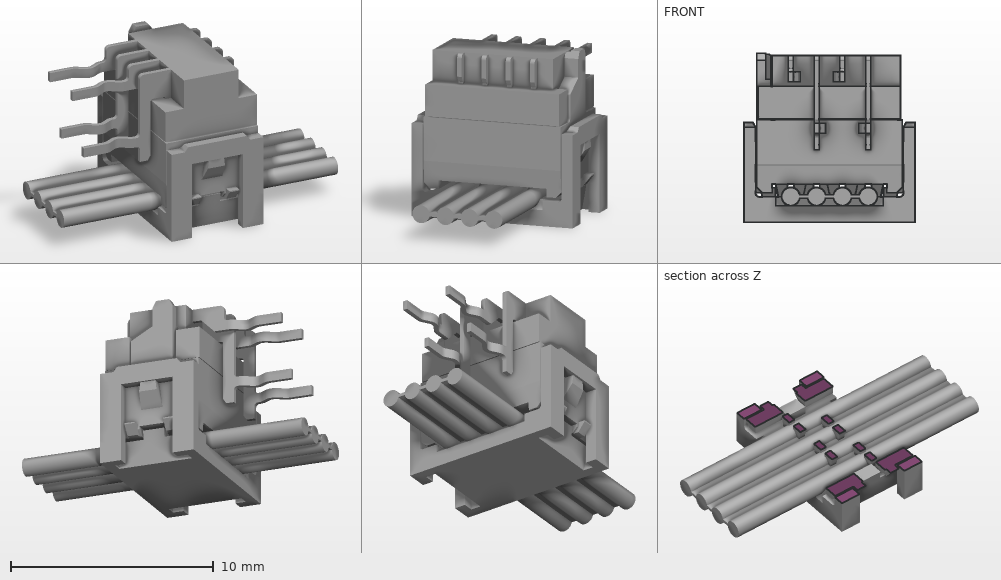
import cadquery as cq


WIRE_COUNT = 4
WIRE_PITCH = 1.28
WIRE_DIAMETER = 0.9
WIRE_Z = 1.28
CABLE_LENGTH = 15.0
WEB_THICKNESS = 0.16
WIRE_XS = [(i - (WIRE_COUNT - 1) / 2) * WIRE_PITCH for i in range(WIRE_COUNT)]

BODY_DEPTH = 5.02
HOUSING_WIDTH = 7.2
SIDE_GAP = 0.05

CLAMP_WIDTH = 8.46
CLAMP_HEIGHT = 4.94
CLAMP_INNER_WIDTH = HOUSING_WIDTH + 2 * SIDE_GAP
CLAMP_FLOOR_Z = 1.26
CLAMP_CORNER_RADIUS = 0.2
ARM_STEP_HEIGHT = 0.24
ARM_MIDDLE_LENGTH = 3.21
ARM_STEP_RUN = 0.18
ARM_LEAD_IN = 0.14
WINDOW_LENGTH = 2.78
WINDOW_TOP_Z = 3.99
UNDERCUT_LENGTH = 3.9
UNDERCUT_BOTTOM_X = 3.1
UNDERCUT_LEAN = 0.3
CHANNEL_WIDTH = 5.31
CHANNEL_Z = 0.81
CHANNEL_RAMP_LENGTH = 0.45
TONGUE_LENGTH = 1.11
TONGUE_TOP_Z = 1.71

HOUSING_BOTTOM_Z = 1.45
HOUSING_TOP_Z = 5.05
HOUSING_CHAMFER = 0.28
FACE_LEAN_Z = 2.85
FACE_LEAN = 0.1
CABLE_RECESS_WIDTH = 5.67
CABLE_RECESS_TOP_Z = 1.89
TONGUE_SLOT_LENGTH = 1.35

FORK_TOP_WIDTH = 1.5
FORK_BOTTOM_WIDTH = 1.23
FORK_THICKNESS = 0.36
FORK_NEAR_Y = 0.55
FORK_SLOT_WIDTH = 0.3

LUG_TOP_Z = WINDOW_TOP_Z
LUG_EDGE_Z = 3.51
LUG_BOTTOM_Z = 2.73
LUG_REACH = 0.51
LUG_TOP_WIDTH = 0.81
LUG_BOTTOM_WIDTH = 1.14
HOOK_TOP_Z = 2.01
HOOK_LIP = 0.06
HOOK_REACH = 0.39
HOOK_LENGTH = 0.54
HOOK_Y = 1.04

SEAM_HEIGHT = 0.05
SEAM_DEPTH = 0.15
HEADER_WIDTH = 7.02
HEADER_Z = HOUSING_TOP_Z + SEAM_HEIGHT
SHELF_Z = 6.7
BLOCK_TOP_Z = 8.24
BLOCK_DEPTH = 3.0
BLOCK_LEFT_X = -2.84
LATCH_RECESS_LENGTH = 2.49

LATCH_LEFT_X = -HOUSING_WIDTH / 2
LATCH_RIGHT_X = BLOCK_LEFT_X - SIDE_GAP
LATCH_LENGTH = 2.22
LATCH_TOP_Z = 8.35
LATCH_SHOULDER_Z = 6.44
LATCH_NECK_Z = 7.05
LATCH_TIP_BACK_Y = -0.03
LATCH_TIP_CHAMFER_RUN = 0.2
LATCH_TIP_CHAMFER_DROP = 0.36
LATCH_ROOT_RADIUS = 0.18
LATCH_NOTCH_X = -3.15
LATCH_NOTCH_BACK_Y = -0.2
LATCH_TIP_SLOPE_X = -3.1
LATCH_TIP_SLOPE_DROP = 0.12

CONTACT_THICKNESS = 0.24
CONTACT_FRONT_Y = -3.2
CONTACT_ROUND = 0.22
EMBED = 0.15
BACK_TAIL_Y = 1.96
BACK_TAIL_LOW_Z = 7.1
BACK_TAIL_FOOT_Y = 1.8
BACK_TAIL_FOOT_Z = 6.81
SHORT_WEB_Z = 7.6
SHORT_WEB_END_Y = -1.98
SHORT_FOOT_Y = -2.68
COLUMN_BACK_Y = -2.61
COLUMN_BOTTOM_Z = 3.57
COLUMN_CHAMFER_Y = 0.16
COLUMN_CHAMFER_Z = 0.25
BRIDGE_Z = 6.84
BRIDGE_FOOT_Y = -1.82
BRIDGE_ROUND = 0.12

PIN_HEIGHT = 0.5
UPPER_PIN_Z = 6.93
LOWER_PIN_Z = 4.4
PIN_TIP_Y = -6.27
PIN_ROOT_RADIUS = 0.18
KINK_START_Y = -3.57
KINK_PEAK_Y = -4.25
KINK_END_Y = -4.94
KINK_OFFSET = 0.44
KINK_RADIUS = 0.5
STUB_END_Y = -3.39


def box(x_range, y_range, z_range):
    """Box from its limits along each axis."""
    (x0, x1), (y0, y1), (z0, z1) = x_range, y_range, z_range
    return cq.Workplane("XY").box(x1 - x0, y1 - y0, z1 - z0, centered=False).translate((x0, y0, z0))


def centred_box(width, depth, z0, z1):
    """Box centred on the Z axis between two heights."""
    return box((-width / 2, width / 2), (-depth / 2, depth / 2), (z0, z1))


def prism_along_x(points, x0, x1):
    """Prism with a (y, z) outline between two x positions."""
    return cq.Workplane("YZ", origin=(x0, 0, 0)).polyline(points).close().extrude(x1 - x0)


def prism_along_y(points, y0, y1):
    """Prism with an (x, z) outline between two y positions."""
    return cq.Workplane("XZ", origin=(0, y0, 0)).polyline(points).close().extrude(y0 - y1)


def both_sides(shape):
    """The shape together with its mirror image on the other X side."""
    return shape.union(shape.mirror("YZ"))


def make_cable():
    cable = centred_box(
        WIRE_XS[-1] - WIRE_XS[0], CABLE_LENGTH, WIRE_Z - WEB_THICKNESS / 2, WIRE_Z + WEB_THICKNESS / 2
    )
    for x in WIRE_XS:
        wire = (
            cq.Workplane("XZ", origin=(x, CABLE_LENGTH / 2, WIRE_Z))
            .circle(WIRE_DIAMETER / 2)
            .extrude(CABLE_LENGTH)
        )
        cable = cable.union(wire)
    return cable


def arm_end_steps():
    """Material removed where the arm tops step down towards both Y ends."""
    low_z = CLAMP_HEIGHT - ARM_STEP_HEIGHT
    middle_y = ARM_MIDDLE_LENGTH / 2
    end_y = BODY_DEPTH / 2
    step = prism_along_x(
        [(middle_y, CLAMP_HEIGHT), (middle_y + ARM_STEP_RUN, low_z), (end_y, low_z), (end_y, CLAMP_HEIGHT)],
        -CLAMP_WIDTH / 2,
        CLAMP_WIDTH / 2,
    )
    return step.union(step.mirror("XZ"))


def arm_lead_in():
    """Sloped inner edge along the top of one arm."""
    inner_x = CLAMP_INNER_WIDTH / 2
    return prism_along_y(
        [
            (inner_x, CLAMP_HEIGHT - ARM_STEP_HEIGHT),
            (inner_x + ARM_LEAD_IN, CLAMP_HEIGHT),
            (inner_x, CLAMP_HEIGHT),
        ],
        -BODY_DEPTH / 2,
        BODY_DEPTH / 2,
    )


def arm_window():
    """Window through one arm, open at the bottom."""
    return box(
        (CLAMP_INNER_WIDTH / 2, CLAMP_WIDTH / 2), (-WINDOW_LENGTH / 2, WINDOW_LENGTH / 2), (0, WINDOW_TOP_Z)
    )


def base_undercut():
    """Slit between one arm and the base, which leaves a leaning side on the base and tongue."""
    inner_x = CLAMP_INNER_WIDTH / 2
    return prism_along_y(
        [
            (UNDERCUT_BOTTOM_X, 0),
            (inner_x, 0),
            (inner_x, TONGUE_TOP_Z),
            (UNDERCUT_BOTTOM_X + UNDERCUT_LEAN, TONGUE_TOP_Z),
        ],
        -UNDERCUT_LENGTH / 2,
        UNDERCUT_LENGTH / 2,
    )


def channel_ramp():
    """Opening at the -Y end of the cable channel, whose floor rises inward."""
    end_y = -BODY_DEPTH / 2
    return prism_along_x(
        [(end_y, CHANNEL_Z), (end_y + CHANNEL_RAMP_LENGTH, CLAMP_FLOOR_Z), (end_y, CLAMP_FLOOR_Z)],
        -CHANNEL_WIDTH / 2,
        CHANNEL_WIDTH / 2,
    )


def make_clamp(cable):
    clamp = centred_box(CLAMP_WIDTH, BODY_DEPTH, 0, CLAMP_HEIGHT)
    cavity = centred_box(CLAMP_INNER_WIDTH, BODY_DEPTH, CLAMP_FLOOR_Z, CLAMP_HEIGHT)
    cavity = cavity.edges("|Y and <Z").fillet(CLAMP_CORNER_RADIUS)
    clamp = clamp.cut(cavity)
    clamp = clamp.cut(arm_end_steps())
    clamp = clamp.cut(both_sides(arm_lead_in()))
    ramp = channel_ramp()
    clamp = clamp.cut(ramp).cut(ramp.mirror("XZ"))
    tongue = box(
        (CHANNEL_WIDTH / 2, CLAMP_INNER_WIDTH / 2),
        (-TONGUE_LENGTH / 2, TONGUE_LENGTH / 2),
        (CLAMP_FLOOR_Z - CLAMP_CORNER_RADIUS, TONGUE_TOP_Z),
    )
    clamp = clamp.union(both_sides(tongue))
    clamp = clamp.cut(both_sides(arm_window())).cut(both_sides(base_undercut()))
    return clamp.cut(cable)


def make_housing():
    housing = centred_box(HOUSING_WIDTH, BODY_DEPTH, HOUSING_BOTTOM_Z, HOUSING_TOP_Z)
    housing = housing.edges("|Y and <Z").chamfer(HOUSING_CHAMFER)
    end_y = BODY_DEPTH / 2
    lean = prism_along_x(
        [(end_y, FACE_LEAN_Z), (end_y, HOUSING_BOTTOM_Z), (end_y - FACE_LEAN, HOUSING_BOTTOM_Z)],
        -HOUSING_WIDTH / 2,
        HOUSING_WIDTH / 2,
    )
    housing = housing.cut(lean).cut(lean.mirror("XZ"))
    cable_recess = centred_box(CABLE_RECESS_WIDTH, BODY_DEPTH, HOUSING_BOTTOM_Z, CABLE_RECESS_TOP_Z)
    tongue_slot = centred_box(HOUSING_WIDTH, TONGUE_SLOT_LENGTH, HOUSING_BOTTOM_Z, CABLE_RECESS_TOP_Z)
    return housing.cut(cable_recess).cut(tongue_slot)


def make_fork(x, row):
    """Tapered fork that straddles one wire; row is -1 or +1 along Y."""
    near_y = row * FORK_NEAR_Y
    far_y = row * (FORK_NEAR_Y + FORK_THICKNESS)
    y_low = min(near_y, far_y)
    y_high = max(near_y, far_y)
    fork = prism_along_y(
        [
            (x - FORK_BOTTOM_WIDTH / 2, CLAMP_FLOOR_Z),
            (x + FORK_BOTTOM_WIDTH / 2, CLAMP_FLOOR_Z),
            (x + FORK_TOP_WIDTH / 2, CABLE_RECESS_TOP_Z),
            (x - FORK_TOP_WIDTH / 2, CABLE_RECESS_TOP_Z),
        ],
        y_low,
        y_high,
    )
    slot = box(
        (x - FORK_SLOT_WIDTH / 2, x + FORK_SLOT_WIDTH / 2),
        (y_low, y_high),
        (CLAMP_FLOOR_Z, CABLE_RECESS_TOP_Z),
    )
    return fork.cut(slot)


def make_snap_lug():
    """Lug on the +X side that sits under the top of the clamp window."""
    side_x = HOUSING_WIDTH / 2
    profile = prism_along_y(
        [
            (side_x, LUG_BOTTOM_Z),
            (side_x + LUG_REACH, LUG_EDGE_Z),
            (side_x + LUG_REACH, LUG_TOP_Z),
            (side_x, LUG_TOP_Z),
        ],
        -LUG_BOTTOM_WIDTH / 2,
        LUG_BOTTOM_WIDTH / 2,
    )
    taper = prism_along_x(
        [
            (-LUG_BOTTOM_WIDTH / 2, LUG_BOTTOM_Z),
            (LUG_BOTTOM_WIDTH / 2, LUG_BOTTOM_Z),
            (LUG_TOP_WIDTH / 2, LUG_TOP_Z),
            (-LUG_TOP_WIDTH / 2, LUG_TOP_Z),
        ],
        side_x,
        side_x + LUG_REACH,
    )
    return profile.intersect(taper)


def make_snap_hook(y):
    """Small hook on the +X side, with a sloped underside."""
    side_x = HOUSING_WIDTH / 2
    return prism_along_y(
        [
            (side_x - HOUSING_CHAMFER, HOUSING_BOTTOM_Z),
            (side_x, HOUSING_BOTTOM_Z),
            (side_x + HOOK_REACH, HOOK_TOP_Z - HOOK_LIP),
            (side_x + HOOK_REACH, HOOK_TOP_Z),
            (side_x - HOUSING_CHAMFER, HOOK_TOP_Z),
        ],
        y - HOOK_LENGTH / 2,
        y + HOOK_LENGTH / 2,
    )


def make_header():
    base = centred_box(HEADER_WIDTH, BODY_DEPTH, HEADER_Z, SHELF_Z)
    latch_recess = box(
        (-HEADER_WIDTH / 2, BLOCK_LEFT_X),
        (-LATCH_RECESS_LENGTH / 2, LATCH_RECESS_LENGTH / 2),
        (HEADER_Z, SHELF_Z),
    )
    block = box(
        (BLOCK_LEFT_X, HEADER_WIDTH / 2), (-BLOCK_DEPTH / 2, BLOCK_DEPTH / 2), (SHELF_Z, BLOCK_TOP_Z)
    )
    seam_core = box(
        (BLOCK_LEFT_X + SEAM_DEPTH, HEADER_WIDTH / 2 - SEAM_DEPTH),
        (-BODY_DEPTH / 2 + SEAM_DEPTH, BODY_DEPTH / 2 - SEAM_DEPTH),
        (HOUSING_TOP_Z, HEADER_Z),
    )
    return base.cut(latch_recess).union(block).union(seam_core)


def make_latch():
    front_y = -LATCH_LENGTH / 2
    back_y = LATCH_LENGTH / 2
    chamfer_z = LATCH_TOP_Z - LATCH_TIP_CHAMFER_DROP
    root = LATCH_ROOT_RADIUS
    latch = (
        cq.Workplane("YZ", origin=(LATCH_LEFT_X, 0, 0))
        .moveTo(front_y - root, HOUSING_TOP_Z)
        .radiusArc((front_y, HOUSING_TOP_Z + root), -root)
        .lineTo(front_y, chamfer_z)
        .lineTo(front_y + LATCH_TIP_CHAMFER_RUN, LATCH_TOP_Z)
        .lineTo(LATCH_TIP_BACK_Y - LATCH_TIP_CHAMFER_RUN, LATCH_TOP_Z)
        .lineTo(LATCH_TIP_BACK_Y, chamfer_z)
        .lineTo(LATCH_TIP_BACK_Y, LATCH_NECK_Z)
        .lineTo(back_y, LATCH_SHOULDER_Z)
        .lineTo(back_y, HOUSING_TOP_Z + root)
        .radiusArc((back_y + root, HOUSING_TOP_Z), -root)
        .close()
        .extrude(LATCH_RIGHT_X - LATCH_LEFT_X)
    )
    notch = box(
        (LATCH_NOTCH_X, LATCH_RIGHT_X), (front_y, LATCH_NOTCH_BACK_Y), (LATCH_NECK_Z, LATCH_TOP_Z)
    )
    tip_slope = prism_along_y(
        [
            (LATCH_TIP_SLOPE_X, LATCH_TOP_Z),
            (LATCH_RIGHT_X, LATCH_TOP_Z),
            (LATCH_RIGHT_X, LATCH_TOP_Z - LATCH_TIP_SLOPE_DROP),
        ],
        front_y,
        back_y,
    )
    return latch.cut(notch).cut(tip_slope)


def contact_plate(points):
    return prism_along_x(points, -CONTACT_THICKNESS / 2, CONTACT_THICKNESS / 2)


def round_corner(plate, y, z, radius):
    """Round the plate corner at (y, z)."""
    return plate.edges("|X").edges(cq.NearestToPointSelector((0, y, z))).fillet(radius)


def make_back_tail():
    inner_y = BLOCK_DEPTH / 2 - EMBED
    tail = contact_plate(
        [
            (inner_y, BLOCK_TOP_Z),
            (BACK_TAIL_Y, BLOCK_TOP_Z),
            (BACK_TAIL_Y, BACK_TAIL_LOW_Z),
            (BACK_TAIL_FOOT_Y, BACK_TAIL_FOOT_Z),
            (BACK_TAIL_FOOT_Y, SHELF_Z),
            (inner_y, SHELF_Z),
        ]
    )
    return round_corner(tail, BACK_TAIL_Y, BLOCK_TOP_Z, CONTACT_ROUND)


def make_short_plate():
    """Front plate that ends in the upper pin."""
    inner_y = -BLOCK_DEPTH / 2 + EMBED
    pin_top_z = UPPER_PIN_Z + PIN_HEIGHT
    plate = contact_plate(
        [
            (inner_y, BLOCK_TOP_Z),
            (CONTACT_FRONT_Y, BLOCK_TOP_Z),
            (CONTACT_FRONT_Y, pin_top_z),
            (STUB_END_Y, pin_top_z),
            (STUB_END_Y, UPPER_PIN_Z),
            (SHORT_FOOT_Y, UPPER_PIN_Z),
            (SHORT_WEB_END_Y, SHORT_WEB_Z),
            (inner_y, SHORT_WEB_Z),
        ]
    )
    plate = round_corner(plate, CONTACT_FRONT_Y, BLOCK_TOP_Z, CONTACT_ROUND)
    return round_corner(plate, CONTACT_FRONT_Y, pin_top_z, PIN_ROOT_RADIUS)


def make_long_plate():
    """Front plate with a column that reaches down to the lower pin."""
    inner_y = -BLOCK_DEPTH / 2 + EMBED
    pin_top_z = LOWER_PIN_Z + PIN_HEIGHT
    plate = contact_plate(
        [
            (inner_y, BLOCK_TOP_Z),
            (CONTACT_FRONT_Y, BLOCK_TOP_Z),
            (CONTACT_FRONT_Y, pin_top_z),
            (STUB_END_Y, pin_top_z),
            (STUB_END_Y, LOWER_PIN_Z),
            (CONTACT_FRONT_Y, LOWER_PIN_Z),
            (CONTACT_FRONT_Y, COLUMN_BOTTOM_Z),
            (COLUMN_BACK_Y - COLUMN_CHAMFER_Y, COLUMN_BOTTOM_Z),
            (COLUMN_BACK_Y, COLUMN_BOTTOM_Z + COLUMN_CHAMFER_Z),
            (COLUMN_BACK_Y, BRIDGE_Z),
            (BRIDGE_FOOT_Y, BRIDGE_Z),
            (BRIDGE_FOOT_Y, SHELF_Z),
            (inner_y, SHELF_Z),
        ]
    )
    plate = round_corner(plate, CONTACT_FRONT_Y, BLOCK_TOP_Z, CONTACT_ROUND)
    plate = round_corner(plate, COLUMN_BACK_Y, BRIDGE_Z, BRIDGE_ROUND)
    plate = round_corner(plate, BRIDGE_FOOT_Y, BRIDGE_Z, BRIDGE_ROUND)
    for z in (LOWER_PIN_Z, pin_top_z):
        plate = round_corner(plate, CONTACT_FRONT_Y, z, PIN_ROOT_RADIUS)
    return plate


def make_pin(bottom_z, side):
    """Pin with a rounded sideways kink; side is -1 or +1 along X."""
    middle_z = bottom_z + PIN_HEIGHT / 2
    path_points = [
        cq.Vector(0, STUB_END_Y, middle_z),
        cq.Vector(0, KINK_START_Y, middle_z),
        cq.Vector(side * KINK_OFFSET, KINK_PEAK_Y, middle_z),
        cq.Vector(0, KINK_END_Y, middle_z),
        cq.Vector(0, PIN_TIP_Y, middle_z),
    ]
    path = cq.Wire.makePolygon(path_points)
    path = path.fillet(KINK_RADIUS, path.Vertices()[1:-1])
    section = cq.Workplane("XZ", origin=(0, STUB_END_Y, middle_z)).rect(CONTACT_THICKNESS, PIN_HEIGHT)
    return section.sweep(cq.Workplane(path))


def make_contact(is_long, side):
    if is_long:
        front = make_long_plate().union(make_pin(LOWER_PIN_Z, side))
    else:
        front = make_short_plate().union(make_pin(UPPER_PIN_Z, side))
    return make_back_tail(), front


def make_connector(cable):
    connector = make_housing().union(make_header()).union(make_latch())
    connector = connector.union(both_sides(make_snap_lug()))
    for y in (-HOOK_Y, HOOK_Y):
        connector = connector.union(both_sides(make_snap_hook(y)))
    for i, x in enumerate(WIRE_XS):
        is_long = i % 2 == 1
        fork_row = 1 if is_long else -1
        kink_side = 1 if x < 0 else -1
        connector = connector.union(make_fork(x, fork_row))
        for piece in make_contact(is_long, kink_side):
            connector = connector.union(piece.translate((x, 0, 0)))
    return connector.cut(cable)


cable = make_cable()
clamp = make_clamp(cable)
connector = make_connector(cable)

result = cq.Compound.makeCompound([cable.solids().val(), clamp.solids().val(), connector.solids().val()])